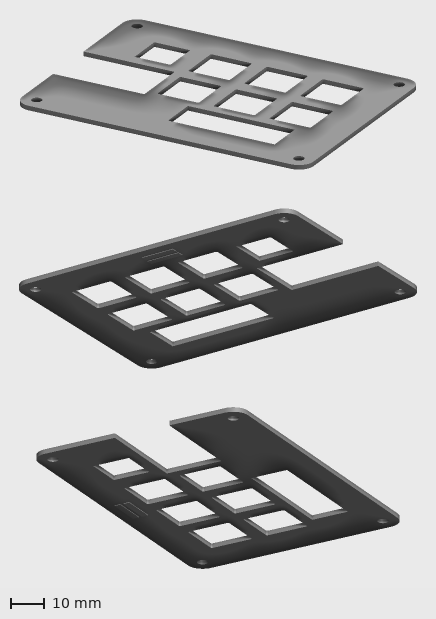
import cadquery as cq

plate_length = 99.0
plate_width = 71.8
plate_thickness = 1.5
corner_radius = 4.9

hole_diameter = 3.4

key_size = 14.1
key_corner_radius = 0.5
key_pitch = 19.0
key_columns = 3
key_rows = 2
key_grid_x = 10.7
key_grid_y = 6.9

square_size = 12.2
square_x = -28.2
square_y = 16.9

window_length = 36.2
window_width = 12.3
window_x = 15.1
window_y = -19.3

notch_depth = 31.0
notch_width = 18.7
notch_y = -2.5

strip_length = 11.1
strip_height = 0.2
strip_width = 2.1
strip_pitch = 3.1
first_strip_y = 31.4
strip_count = 2


def through_block(length, width, x, y):
    """Cutting block as tall as the plate, centred on (x, y)."""
    block = cq.Workplane("XY").box(length, width, plate_thickness, centered=(True, True, False))
    return block.translate((x, y, 0))


def make_plate():
    plate = through_block(plate_length, plate_width, 0, 0)
    return plate.edges("|Z").fillet(corner_radius)


def mounting_holes():
    hole_spacing_x = plate_length - 2 * corner_radius
    hole_spacing_y = plate_width - 2 * corner_radius
    return (
        cq.Workplane("XY")
        .rarray(hole_spacing_x, hole_spacing_y, 2, 2)
        .circle(hole_diameter / 2)
        .extrude(plate_thickness)
    )


def key_openings():
    return (
        cq.Workplane("XY")
        .center(key_grid_x, key_grid_y)
        .rarray(key_pitch, key_pitch, key_columns, key_rows)
        .rect(key_size, key_size)
        .extrude(plate_thickness)
        .edges("|Z")
        .fillet(key_corner_radius)
    )


def edge_notch():
    notch_x = (notch_depth - plate_length) / 2
    return through_block(notch_depth, notch_width, notch_x, notch_y)


def underside_strip(index):
    strip = cq.Workplane("XY").box(strip_length, strip_width, strip_height, centered=(True, True, False))
    return strip.translate((0, first_strip_y - index * strip_pitch, -strip_height))


result = (
    make_plate()
    .cut(mounting_holes())
    .cut(key_openings())
    .cut(through_block(square_size, square_size, square_x, square_y))
    .cut(through_block(window_length, window_width, window_x, window_y))
    .cut(edge_notch())
)
for strip_index in range(strip_count):
    result = result.union(underside_strip(strip_index))